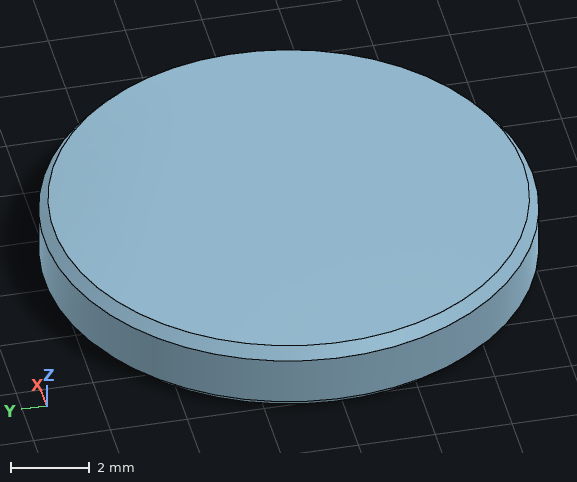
import cadquery as cq

lens_radius = 6.35
lens_height = 2.93

bevel_width = 0.24
bottom_bevel_height = 0.27
rim_top = 1.57
dome_edge = 1.88

face_radius = lens_radius - bevel_width
dome_rise = lens_height - dome_edge
dome_radius = (face_radius**2 + dome_rise**2) / (2 * dome_rise)

mid_radius = face_radius / 2
sphere_center = lens_height - dome_radius
mid_height = sphere_center + (dome_radius**2 - mid_radius**2) ** 0.5

half_profile = (
    cq.Workplane("YZ")
    .lineTo(-face_radius, 0)
    .lineTo(-lens_radius, bottom_bevel_height)
    .lineTo(-lens_radius, rim_top)
    .lineTo(-face_radius, dome_edge)
    .threePointArc((-mid_radius, mid_height), (0, lens_height))
    .close()
)

result = half_profile.revolve(360, (0, 0), (0, 1))